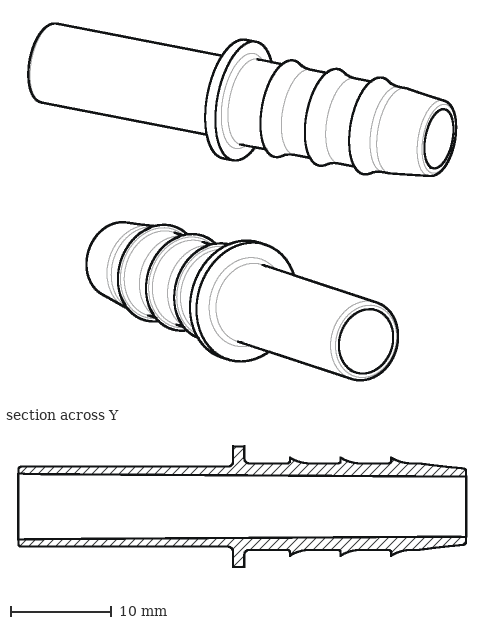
import cadquery as cq
import math

length = 44.5

bore_inlet_radius = 3.25
bore_outlet_radius = 3.0

tube_radius = 4.0
end_round = 0.35

flange_radius = 6.0
flange_start = 21.3
flange_end = 22.47
flange_fillet = 0.5

stem_radius = 4.3
barb_radius = 4.9
first_barb = 26.95
barb_pitch = 5.05
barb_length = 2.05
barb_count = 3
barb_root_fillet = 0.25

taper_start = 39.83
tip_radius = 3.83

arc_middle = 1 - math.sqrt(0.5)


def quarter_round(profile, corner, start, end):
    """Add a quarter circle from start to end, tangent to both sides of the corner."""
    opposite = (start[0] + end[0] - corner[0], start[1] + end[1] - corner[1])
    middle = (
        corner[0] + (opposite[0] - corner[0]) * arc_middle,
        corner[1] + (opposite[1] - corner[1]) * arc_middle,
    )
    return profile.lineTo(*start).threePointArc(middle, end)


def add_barb(profile, start):
    """Add a filleted step and a concave flank that runs out tangent to the stem."""
    flank_end = start + barb_length
    rise = barb_radius - stem_radius
    flank_radius = (barb_length**2 + rise**2) / (2 * rise)
    half_angle = math.asin(barb_length / flank_radius) / 2
    flank_middle = (
        flank_end - flank_radius * math.sin(half_angle),
        stem_radius + flank_radius * (1 - math.cos(half_angle)),
    )
    profile = quarter_round(
        profile,
        (start, stem_radius),
        (start - barb_root_fillet, stem_radius),
        (start, stem_radius + barb_root_fillet),
    )
    profile = profile.lineTo(start, barb_radius)
    return profile.threePointArc(flank_middle, (flank_end, stem_radius))


profile = cq.Workplane("XY").moveTo(length, bore_outlet_radius).lineTo(0, bore_inlet_radius)
profile = quarter_round(
    profile, (0, tube_radius), (0, tube_radius - end_round), (end_round, tube_radius)
)

profile = quarter_round(
    profile,
    (flange_start, tube_radius),
    (flange_start - flange_fillet, tube_radius),
    (flange_start, tube_radius + flange_fillet),
)
profile = profile.lineTo(flange_start, flange_radius).lineTo(flange_end, flange_radius)
profile = quarter_round(
    profile,
    (flange_end, stem_radius),
    (flange_end, stem_radius + flange_fillet),
    (flange_end + flange_fillet, stem_radius),
)

for index in range(barb_count):
    profile = add_barb(profile, first_barb + index * barb_pitch)

profile = profile.lineTo(taper_start, stem_radius)
profile = quarter_round(
    profile,
    (length, tip_radius),
    (length - end_round, tip_radius),
    (length, tip_radius - end_round),
)

profile = profile.close()
result = profile.revolve(360, (0, 0, 0), (1, 0, 0))